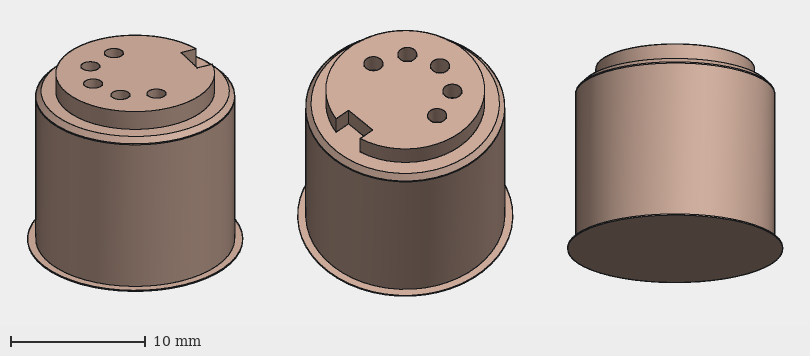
import cadquery as cq


flange_diameter = 16.0
flange_thickness = 0.1

body_diameter = 14.8
barrel_height = 12.0
cap_rim_height = 0.1
cap_chamfer = 0.4

insert_diameter = 11.8
insert_height = 1.5
key_width = 2.65
key_floor_y = 4.5

hole_diameter = 1.4
hole_circle_radius = 3.5
hole_count = 5
hole_arc_start = 180.0
hole_arc_sweep = 180.0

barrel_bottom = flange_thickness
cap_bottom = barrel_bottom + barrel_height
cap_height = cap_rim_height + cap_chamfer
insert_bottom = cap_bottom + cap_height


def disc(diameter, height, bottom):
    """Solid cylinder on the Z axis, standing on the given level."""
    return cq.Workplane("XY").workplane(offset=bottom).circle(diameter / 2).extrude(height)


def make_flange():
    return disc(flange_diameter, flange_thickness, 0)


def make_barrel():
    return disc(body_diameter, barrel_height, barrel_bottom)


def make_cap():
    """Disc with a short straight rim below a chamfered top edge."""
    return disc(body_diameter, cap_height, cap_bottom).faces(">Z").edges().chamfer(cap_chamfer)


def make_key_slot():
    """Square-cornered keyway, open at the +Y side of the insert."""
    slot_depth = insert_diameter / 2 - key_floor_y
    return (
        cq.Workplane("XY")
        .workplane(offset=insert_bottom)
        .center(0, key_floor_y + slot_depth / 2)
        .rect(key_width, slot_depth)
        .extrude(insert_height)
    )


def make_contact_holes():
    """Cutters for the contact holes, which pass through the insert down to the cap."""
    return (
        cq.Workplane("XY")
        .workplane(offset=insert_bottom)
        .polarArray(hole_circle_radius, hole_arc_start, hole_arc_sweep, hole_count)
        .circle(hole_diameter / 2)
        .extrude(insert_height)
    )


def make_insert():
    blank = disc(insert_diameter, insert_height, insert_bottom)
    return blank.cut(make_key_slot()).cut(make_contact_holes())


flange = make_flange()
barrel = make_barrel()
cap = make_cap()
insert = make_insert()

result = cq.Compound.makeCompound([flange.val(), barrel.val(), cap.val(), insert.val()])